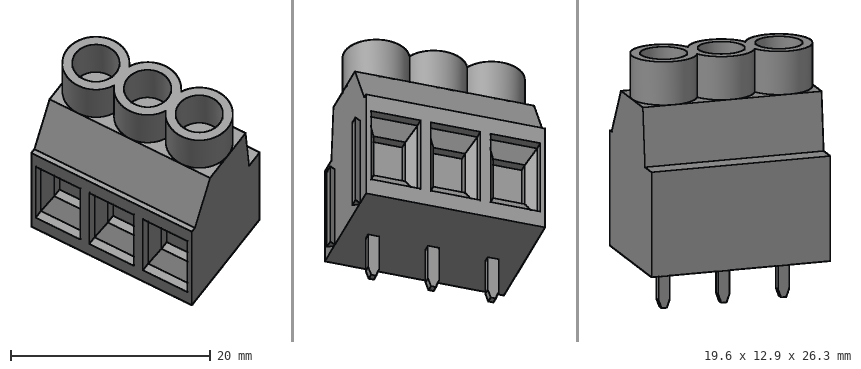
import cadquery as cq

POLES = 3

WIDTH = 19.0
DEPTH = 12.9
SHOULDER_Z = 17.0
FRONT_LEDGE_Z = 12.0
FRONT_LEDGE_DEPTH = 0.58
BACK_LEDGE_Z = 10.95
BACK_LEDGE_DEPTH = 2.03

COLLAR_DIAMETER = 6.75
COLLAR_BORE = 4.75
COLLAR_HEIGHT = 4.5
COLLAR_Y = 6.85
COLLAR_PITCH = (WIDTH - COLLAR_DIAMETER) / (POLES - 1)

ENTRY_PITCH = 6.35
ENTRY_WIDTH = 5.25
ENTRY_BOTTOM = 1.81
ENTRY_TOP = 10.1
THROAT_WIDTH = 3.37
THROAT_BOTTOM = 3.8
THROAT_TOP = 8.52
ENTRY_STEP = 1.0

RIB_PROJECTION = 0.63
RIB_OUTER_WIDTH = 1.03
RIB_ROOT_WIDTH = 0.2
FRONT_RIB_Y = 1.97
FRONT_RIB_HEIGHT = 10.0
BACK_RIB_Y = 9.84
BACK_RIB_HEIGHT = 9.13

PIN_WIDTH = 1.18
PIN_THICKNESS = 0.8
PIN_LENGTH = 4.8
PIN_Y = 7.29
PIN_TIP_WIDTH = 0.55
PIN_TIP_LENGTH = 0.87


def row(pitch):
    """X positions of one feature per pole, centred on the housing."""
    return [(i - (POLES - 1) / 2) * pitch for i in range(POLES)]


def make_block():
    """Side profile extruded along the full width."""
    collar_front = COLLAR_Y - COLLAR_DIAMETER / 2
    collar_back = COLLAR_Y + COLLAR_DIAMETER / 2
    profile = [
        (0, 0),
        (DEPTH, 0),
        (DEPTH, BACK_LEDGE_Z),
        (DEPTH - BACK_LEDGE_DEPTH, BACK_LEDGE_Z),
        (collar_back, SHOULDER_Z),
        (collar_front, SHOULDER_Z),
        (FRONT_LEDGE_DEPTH, FRONT_LEDGE_Z),
        (0, FRONT_LEDGE_Z),
    ]
    return cq.Workplane("YZ").polyline(profile).close().extrude(WIDTH / 2, both=True)


def make_collar_cylinder(x, diameter):
    """Upright cylinder standing on the flat top."""
    plane = cq.Workplane("XY", origin=(x, COLLAR_Y, SHOULDER_Z))
    return plane.circle(diameter / 2).extrude(COLLAR_HEIGHT)


def entry_section(x, y, width, bottom, top):
    """Rectangle parallel to the front face at depth y."""
    plane = cq.Plane(origin=(x, y, (bottom + top) / 2), xDir=(-1, 0, 0), normal=(0, 1, 0))
    return cq.Workplane(plane).rect(width, top - bottom)


def make_entry(x):
    """Wire entry cavity: straight mouth, funnel, straight throat with a flat floor."""
    mouth_size = (ENTRY_WIDTH, ENTRY_BOTTOM, ENTRY_TOP)
    throat_size = (THROAT_WIDTH, THROAT_BOTTOM, THROAT_TOP)
    funnel_start = ENTRY_STEP
    funnel_end = 2 * ENTRY_STEP
    mouth = entry_section(x, 0, *mouth_size).extrude(ENTRY_STEP)
    wide = entry_section(x, funnel_start, *mouth_size).wires().val()
    narrow = entry_section(x, funnel_end, *throat_size).wires().val()
    funnel = cq.Solid.makeLoft([wide, narrow], True)
    throat = entry_section(x, funnel_end, *throat_size).extrude(ENTRY_STEP)
    return mouth.union(cq.Workplane(funnel)).union(throat)


def make_rib(y, height):
    """Dovetail rib rising from the underside, widening away from the end wall."""
    wall = -WIDTH / 2
    outline = [
        (wall, y - RIB_ROOT_WIDTH / 2),
        (wall, y + RIB_ROOT_WIDTH / 2),
        (wall - RIB_PROJECTION, y + RIB_OUTER_WIDTH / 2),
        (wall - RIB_PROJECTION, y - RIB_OUTER_WIDTH / 2),
    ]
    return cq.Workplane("XY").polyline(outline).close().extrude(height)


def make_housing():
    """Block with collars and ribs, hollowed by the screw bores and wire entries."""
    body = make_block()
    for x in row(COLLAR_PITCH):
        body = body.union(make_collar_cylinder(x, COLLAR_DIAMETER))
    for x in row(COLLAR_PITCH):
        body = body.cut(make_collar_cylinder(x, COLLAR_BORE))
    for x in row(ENTRY_PITCH):
        body = body.cut(make_entry(x))
    body = body.union(make_rib(FRONT_RIB_Y, FRONT_RIB_HEIGHT))
    return body.union(make_rib(BACK_RIB_Y, BACK_RIB_HEIGHT))


def make_pin(x):
    """Flat pin with a tapered tip, its top end resting against the housing underside."""
    taper_z = PIN_TIP_LENGTH - PIN_LENGTH
    outline = [
        (x - PIN_WIDTH / 2, 0),
        (x + PIN_WIDTH / 2, 0),
        (x + PIN_WIDTH / 2, taper_z),
        (x + PIN_TIP_WIDTH / 2, -PIN_LENGTH),
        (x - PIN_TIP_WIDTH / 2, -PIN_LENGTH),
        (x - PIN_WIDTH / 2, taper_z),
    ]
    plane = cq.Workplane("XZ", origin=(0, PIN_Y, 0))
    return plane.polyline(outline).close().extrude(PIN_THICKNESS / 2, both=True)


housing = make_housing()
pins = [make_pin(x) for x in row(ENTRY_PITCH)]

result = cq.Compound.makeCompound([housing.val(), *[pin.val() for pin in pins]])